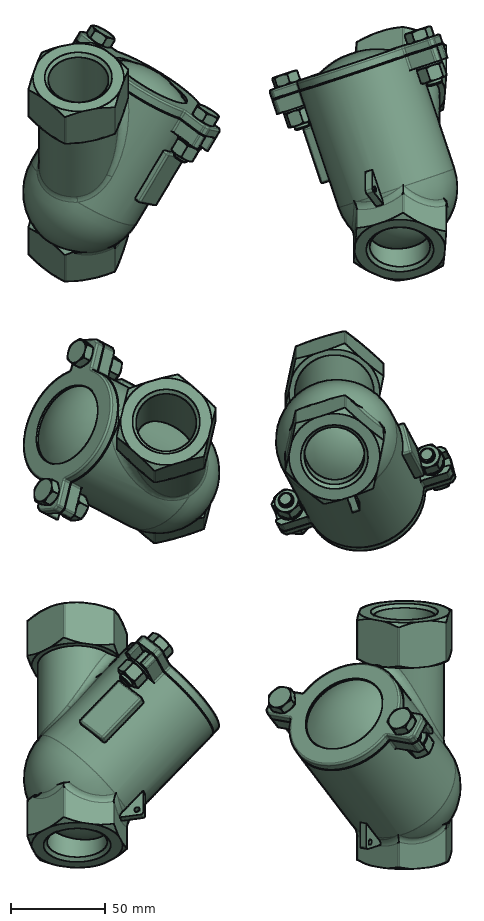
import cadquery as cq
import math

length = 135.0
hex_flats = 47.8
hex_height = 25.0
hex_corner_radius = 0.8
hex_face_diameter = 48.3
hex_chamfer_angle = 30.0
pipe_diameter = 42.1
bore_diameter = 32.0
bore_mouth_diameter = 35.8
bore_chamfer_depth = 1.9

bonnet_radius = 32.5
sphere_y = 4.3
sphere_z = -27.3
bonnet_axis = cq.Vector(0, 1, 1)
body_fillet = 5.0

cover_top = 70.3
cover_thickness = 5.0
gasket_thickness = 0.5
flange_thickness = 7.8
cover_bottom = cover_top - cover_thickness
bonnet_top = cover_bottom - gasket_thickness
flange_bottom = bonnet_top - flange_thickness

cover_radius = 32.4
cover_edge_fillet = 1.0
dome_diameter = 45.0
dome_recess = 1.4
dome_radius = 43.2
gasket_diameter = dome_diameter

lug_reach = 48.8
lug_width = 16.0
lug_corner_chamfer = 2.3
lug_corner_radius = 1.4
lug_root_fillet = 1.1
bolt_offset = 39.5
bolt_clearance = 8.4
slot_mouth_fillet = 0.7

bolt_diameter = 8.0
bolt_tip_diameter = 6.6
bolt_projection = 2.4
bolt_hex_flats = 13.0
bolt_head_height = 5.7
nut_height = 9.0
nut_collar_diameter = 14.0
nut_collar_height = 1.16
head_turns = {-1: 23.0, 1: 0.0}
nut_turns = {-1: 34.0, 1: 0.0}

plate_length = 31.2
plate_width = 18.2
plate_face_x = 35.5
plate_height_on_axis = 30.2
plate_shift_down = 2.8
plate_edge_fillet = 1.1

tag_thickness = 4.0
tag_back_y = 36.9
tag_bottom_z = -55.1
tag_height = 20.2
tag_corner_radius = 1.4
tag_hole_diameter = 2.8
tag_hole_inset = 3.4

along_axis = cq.selectors.ParallelDirSelector(bonnet_axis)


def bonnet_point(height):
    """Point on the bonnet axis at a height above the centre of the sphere."""
    rise = height / math.sqrt(2)
    return cq.Vector(0, sphere_y + rise, sphere_z + rise)


def bonnet_plane(height, x=0.0):
    """Plane across the bonnet axis: local X is X, local Y points down and to the back."""
    origin = bonnet_point(height) + cq.Vector(x, 0, 0)
    return cq.Workplane(cq.Plane(origin, xDir=(1, 0, 0), normal=bonnet_axis))


def box_around(center, half_x, half_yz):
    half_size = cq.Vector(half_x, half_yz, half_yz)
    return cq.selectors.BoxSelector((center - half_size).toTuple(), (center + half_size).toTuple())


def place_on_bonnet(part, height, x):
    """Move a part built along Z onto a line parallel to the bonnet axis."""
    return cq.Workplane(part.val().moved(bonnet_plane(height, x).plane.location))


def corner_diameter(flats):
    return flats / math.cos(math.pi / 6)


def corner_drop(flats, face_diameter):
    """Height of the end chamfer at the corners of a hexagon."""
    return (corner_diameter(flats) - face_diameter) / 2 * math.tan(math.radians(hex_chamfer_angle))


def chamfered_hexagon(flats, height, face_diameter, corner_radius=0.0):
    """Hexagonal prism whose ends are turned down to a round face."""
    prism = cq.Workplane("XY").polygon(6, corner_diameter(flats)).extrude(height)
    if corner_radius:
        prism = prism.edges("|Z").fillet(corner_radius)
    corner = corner_diameter(flats) / 2
    drop = corner_drop(flats, face_diameter)
    envelope = (
        cq.Workplane("XZ")
        .polyline(
            [
                (0, 0),
                (face_diameter / 2, 0),
                (corner, drop),
                (corner, height - drop),
                (face_diameter / 2, height),
                (0, height),
            ]
        )
        .close()
        .revolve(360, (0, 0, 0), (0, 1, 0))
    )
    return prism.intersect(envelope)


def bonnet_shape(height):
    """Solid of revolution, round at the bottom and flat at the given height."""
    plane = cq.Plane((0, sphere_y, sphere_z), xDir=(0, 1, -1), normal=(1, 0, 0))
    return (
        cq.Workplane(plane)
        .moveTo(0, -bonnet_radius)
        .radiusArc((bonnet_radius, 0), -bonnet_radius)
        .lineTo(bonnet_radius, height)
        .lineTo(0, height)
        .close()
        .revolve(360, (0, 0, 0), (0, 1, 0))
    )


def bonnet_with_pipe():
    """Bonnet and upper pipe with a rounded junction that runs out at the bonnet rim."""
    pipe_height = length / 2 - sphere_z
    pipe = cq.Workplane("XY", origin=(0, 0, sphere_z)).circle(pipe_diameter / 2).extrude(pipe_height)
    junction_box = cq.selectors.BoxSelector(
        (-pipe_diameter, -bonnet_radius, sphere_z + body_fillet),
        (pipe_diameter, bonnet_radius, length / 2 - hex_height),
    )
    body = bonnet_shape(length).union(pipe)
    body = body.edges(junction_box).edges("not (%CIRCLE or %LINE)").fillet(body_fillet)
    above_rim = bonnet_plane(bonnet_top).circle(2 * bonnet_radius).extrude(length)
    return body.cut(above_rim.cut(pipe))


def socket_blend(angle):
    """Rounded corner between the sphere and the lower socket flat that faces the given angle."""
    turn = math.radians(angle)
    outward = cq.Vector(math.cos(turn), math.sin(turn), 0)
    flat = hex_flats / 2 - sphere_y * outward.y
    tube_radius = math.sqrt((bonnet_radius + body_fillet) ** 2 - (flat + body_fillet) ** 2)
    edge_radius = math.sqrt(bonnet_radius**2 - flat**2)
    on_sphere = bonnet_radius / (bonnet_radius + body_fillet)
    lean = math.atan2(tube_radius, flat + body_fillet) / 2
    arc_middle = (
        tube_radius - body_fillet * math.sin(lean),
        flat + body_fillet * (1 - math.cos(lean)),
    )
    plane = cq.Plane((0, sphere_y, sphere_z), xDir=(0, 0, -1), normal=cq.Vector(0, 0, -1).cross(outward))
    ring = (
        cq.Workplane(plane)
        .moveTo(tube_radius, flat)
        .threePointArc(arc_middle, (tube_radius * on_sphere, (flat + body_fillet) * on_sphere))
        .lineTo(edge_radius, flat - body_fillet / 2)
        .close()
        .revolve(360, (0, 0, 0), (0, 1, 0))
    )
    half_width = hex_flats * math.tan(math.pi / 6)
    sector_height = hex_height - corner_drop(hex_flats, hex_face_diameter)
    sector = (
        cq.Workplane("XY", origin=(0, 0, -length / 2))
        .polyline([(0, 0), (hex_flats, -half_width), (hex_flats, half_width)])
        .close()
        .extrude(sector_height)
        .rotate((0, 0, 0), (0, 0, 1), angle)
    )
    return ring.intersect(sector)


def lug_bar(bottom, thickness):
    """Bar that carries both lugs, with blunt rounded outer corners."""
    return (
        bonnet_plane(bottom)
        .rect(2 * lug_reach, lug_width)
        .extrude(thickness)
        .edges(along_axis)
        .chamfer(lug_corner_chamfer)
        .edges(along_axis)
        .fillet(lug_corner_radius)
    )


def blend_lug_roots(part, middle_height):
    """Round the inner corners where the lugs leave the round wall."""
    for side in (-1, 1):
        root = bonnet_point(middle_height) + cq.Vector(side * bonnet_radius, 0, 0)
        root_box = box_around(root, lug_root_fillet * 2, lug_width)
        part = part.edges(root_box).edges(along_axis).fillet(lug_root_fillet)
    return part


def cut_bolt_slots(part):
    """Slots through the bonnet lugs, open at the lug ends, with rounded mouths."""
    for side in (-1, 1):
        bolt_x = side * bolt_offset
        round_end = bonnet_plane(flange_bottom, bolt_x).circle(bolt_clearance / 2).extrude(flange_thickness)
        opening = (
            bonnet_plane(flange_bottom, bolt_x + side * lug_width / 2)
            .rect(lug_width, bolt_clearance)
            .extrude(flange_thickness)
        )
        part = part.cut(round_end).cut(opening)
        mouth = bonnet_point(flange_bottom + flange_thickness / 2) + cq.Vector(side * lug_reach, 0, 0)
        mouth_box = box_around(mouth, slot_mouth_fillet, 0.4 * bolt_clearance)
        part = part.edges(mouth_box).edges(along_axis).fillet(slot_mouth_fillet)
    return part


def raised_plate():
    center = bonnet_plane(plate_height_on_axis).plane.toWorldCoords((0, plate_shift_down, 0))
    return (
        cq.Workplane(cq.Plane(center, xDir=bonnet_axis, normal=(1, 0, 0)))
        .rect(plate_length, plate_width)
        .extrude(plate_face_x)
        .edges("|X or >X")
        .fillet(plate_edge_fillet)
    )


def drilled_tag():
    plate = (
        cq.Workplane("XY", origin=(0, 0, tag_bottom_z))
        .box(tag_thickness, tag_back_y, tag_height, centered=(True, False, False))
        .edges("|X and >Y and <Z")
        .fillet(tag_corner_radius)
    )
    hole = (
        cq.Workplane("YZ", origin=(-tag_thickness / 2, 0, 0))
        .center(tag_back_y - tag_hole_inset, tag_bottom_z + tag_hole_inset)
        .circle(tag_hole_diameter / 2)
        .extrude(tag_thickness)
    )
    return plate.cut(hole)


def bore():
    """Bore of both sockets with chamfered mouths; it stops at the wall of the bonnet."""
    half_length = length / 2
    straight_end = half_length - bore_chamfer_depth
    through_bore = (
        cq.Workplane("XZ")
        .polyline(
            [
                (0, -half_length),
                (bore_mouth_diameter / 2, -half_length),
                (bore_diameter / 2, -straight_end),
                (bore_diameter / 2, straight_end),
                (bore_mouth_diameter / 2, half_length),
                (0, half_length),
            ]
        )
        .close()
        .revolve(360, (0, 0, 0), (0, 1, 0))
    )
    return through_bore.cut(bonnet_shape(bonnet_top))


def make_housing():
    socket = chamfered_hexagon(hex_flats, hex_height, hex_face_diameter, hex_corner_radius)
    body = bonnet_with_pipe()
    body = body.union(socket.translate((0, 0, length / 2 - hex_height)))
    body = body.union(socket.translate((0, 0, -length / 2)))
    for angle in (-30, 30, 90, 150, 210):
        body = body.union(socket_blend(angle))
    body = body.union(lug_bar(flange_bottom, flange_thickness))
    body = blend_lug_roots(body, flange_bottom + flange_thickness / 2)
    body = cut_bolt_slots(body)
    body = body.union(raised_plate()).union(drilled_tag())
    return body.cut(bore())


def cover_dome():
    """Shallow dome that rises from the floor of the round recess in the cover."""
    floor = cover_top - dome_recess
    center_depth = math.sqrt(dome_radius**2 - (dome_diameter / 2) ** 2)
    sphere = cq.Workplane("XY").sphere(dome_radius).translate(bonnet_point(floor - center_depth))
    return bonnet_plane(floor).circle(dome_diameter / 2).extrude(dome_radius).intersect(sphere)


def make_cover():
    cover = bonnet_plane(cover_bottom).circle(cover_radius).extrude(cover_thickness)
    cover = cover.union(lug_bar(cover_bottom, cover_thickness))
    cover = blend_lug_roots(cover, cover_bottom + cover_thickness / 2)
    top_face = cq.selectors.DirectionMinMaxSelector(bonnet_axis, True)
    cover = cover.faces(top_face).edges().fillet(cover_edge_fillet)
    cover = cover.cut(bonnet_plane(cover_top - dome_recess).circle(dome_diameter / 2).extrude(dome_recess))
    cover = cover.union(cover_dome())
    for side in (-1, 1):
        hole = bonnet_plane(cover_bottom, side * bolt_offset).circle(bolt_clearance / 2)
        cover = cover.cut(hole.extrude(cover_thickness))
    return cover


def make_gasket():
    return bonnet_plane(bonnet_top).circle(gasket_diameter / 2).extrude(gasket_thickness)


def make_bolt(side):
    shank_length = cover_top - flange_bottom + nut_height + bolt_projection
    head = chamfered_hexagon(bolt_hex_flats, bolt_head_height, bolt_hex_flats)
    head = head.rotate((0, 0, 0), (0, 0, 1), head_turns[side])
    shank = (
        cq.Workplane("XY")
        .circle(bolt_diameter / 2)
        .extrude(-shank_length)
        .faces("<Z")
        .chamfer((bolt_diameter - bolt_tip_diameter) / 2)
    )
    return place_on_bonnet(head.union(shank), cover_top, side * bolt_offset)


def make_nut(side):
    """Hexagon nut with a round collar that bears on the lug."""
    hexagon_height = nut_height - nut_collar_height
    nut = chamfered_hexagon(bolt_hex_flats, hexagon_height, bolt_hex_flats)
    collar = cq.Workplane("XY", origin=(0, 0, hexagon_height)).circle(nut_collar_diameter / 2)
    nut = nut.union(collar.extrude(nut_collar_height))
    nut = nut.cut(cq.Workplane("XY").circle(bolt_diameter / 2).extrude(nut_height))
    nut = nut.rotate((0, 0, 0), (0, 0, 1), nut_turns[side])
    return place_on_bonnet(nut, flange_bottom - nut_height, side * bolt_offset)


housing = make_housing()
cover = make_cover()
gasket = make_gasket()
bolts = [make_bolt(side) for side in (-1, 1)]
nuts = [make_nut(side) for side in (-1, 1)]

result = cq.Compound.makeCompound(
    [
        housing.val(),
        cover.val(),
        gasket.val(),
        *[bolt.val() for bolt in bolts],
        *[nut.val() for nut in nuts],
    ]
)